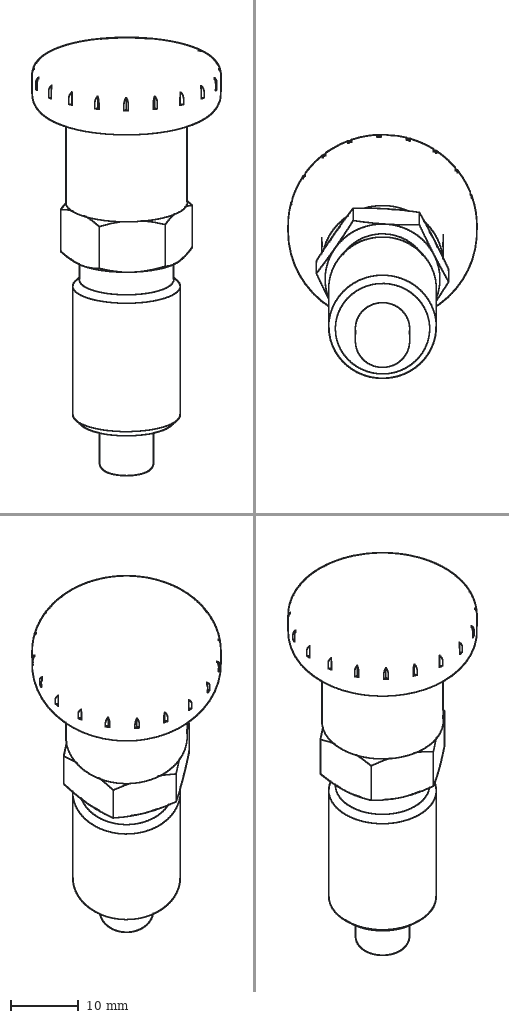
import cadquery as cq
import math

total_height = 65.9
pin_length = 7.85
barrel_length = 22.0
neck_length = 4.0
hex_height = 8.05
sleeve_length = 13.6

barrel_top = pin_length + barrel_length
hex_bottom = barrel_top + neck_length
hex_top = hex_bottom + hex_height
sleeve_top = hex_top + sleeve_length

pin_radius = 4.0
pin_fillet = 1.0
pin_tip_dome_radius = 14.5

barrel_radius = 8.0
neck_radius = 7.0
barrel_chamfer = barrel_radius - neck_radius

hex_across_flats = 17.0
hex_corner_diameter = hex_across_flats / math.cos(math.radians(30))
hex_chamfer_angle = 30.0

head_diameter = 28.0
head_radius = head_diameter / 2
sleeve_diameter = 18.0
sleeve_radius = sleeve_diameter / 2
neck_fillet = 1.0
head_bottom_fillet = 2.45
head_top_fillet = 1.65
dome_height = 2.4
head_bottom = sleeve_top + neck_fillet
head_rim_top = total_height - dome_height

notch_count = 20
notch_depth = 0.3
notch_bottom = 60.95


def cylinder(radius, bottom, top):
    return cq.Workplane("XY").workplane(offset=bottom).circle(radius).extrude(top - bottom)


def make_pin():
    """Pin with a domed tip; the edge fillet is tangent to the pin side and to the dome."""
    fillet_center_radius = pin_radius - pin_fillet
    tilt = math.asin(fillet_center_radius / (pin_tip_dome_radius - pin_fillet))
    dome_edge_radius = pin_tip_dome_radius * math.sin(tilt)
    dome_edge_height = pin_tip_dome_radius * (1 - math.cos(tilt))
    fillet_center_height = dome_edge_height + pin_fillet * math.cos(tilt)
    middle_angle = (math.pi / 2 - tilt) / 2
    fillet_middle = (
        fillet_center_radius + pin_fillet * math.cos(middle_angle),
        fillet_center_height - pin_fillet * math.sin(middle_angle),
    )
    dome_middle = (
        pin_tip_dome_radius * math.sin(tilt / 2),
        pin_tip_dome_radius * (1 - math.cos(tilt / 2)),
    )
    return (
        cq.Workplane("XZ")
        .threePointArc(dome_middle, (dome_edge_radius, dome_edge_height))
        .threePointArc(fillet_middle, (pin_radius, fillet_center_height))
        .lineTo(pin_radius, pin_length)
        .lineTo(0, pin_length)
        .close()
        .revolve(360, (0, 0), (0, 1))
    )


def make_hex():
    """Hexagon whose corners are cut by a cone at both ends, starting at the inscribed circle."""
    prism = (
        cq.Workplane("XY").workplane(offset=hex_bottom).polygon(6, hex_corner_diameter).extrude(hex_height)
    )
    corner_radius = hex_corner_diameter / 2
    corner_width = corner_radius - hex_across_flats / 2
    corner_drop = corner_width * math.tan(math.radians(hex_chamfer_angle))
    envelope = cylinder(corner_radius, hex_bottom, hex_top)
    top_cut = envelope.faces(">Z").edges().chamfer(corner_drop, corner_width)
    both_cut = top_cut.faces("<Z").edges().chamfer(corner_drop, corner_width)
    return prism.intersect(both_cut)


def make_plunger():
    """Plain barrel with the pin below it and the neck and hexagon above it."""
    barrel = cylinder(barrel_radius, pin_length, barrel_top).edges().chamfer(barrel_chamfer)
    neck = cylinder(neck_radius, barrel_top, hex_bottom)
    return make_pin().union(barrel).union(neck).union(make_hex())


def make_knob_blank():
    """Sleeve and domed head, revolved in one piece."""
    diagonal = math.sqrt(0.5)
    bottom_arc_radius = head_radius - head_bottom_fillet
    bottom_arc_height = head_bottom + head_bottom_fillet
    rim_radius = head_radius - head_top_fillet
    rim_arc_height = head_rim_top - head_top_fillet
    dome_radius = (rim_radius**2 + dome_height**2) / (2 * dome_height)
    dome_middle_radius = rim_radius / 2
    dome_middle_height = total_height - dome_radius + math.sqrt(dome_radius**2 - dome_middle_radius**2)
    return (
        cq.Workplane("XZ")
        .moveTo(0, hex_top)
        .lineTo(sleeve_radius, hex_top)
        .lineTo(sleeve_radius, sleeve_top)
        .threePointArc(
            (sleeve_radius + neck_fillet * (1 - diagonal), sleeve_top + neck_fillet * diagonal),
            (sleeve_radius + neck_fillet, head_bottom),
        )
        .lineTo(bottom_arc_radius, head_bottom)
        .threePointArc(
            (
                bottom_arc_radius + head_bottom_fillet * diagonal,
                bottom_arc_height - head_bottom_fillet * diagonal,
            ),
            (head_radius, bottom_arc_height),
        )
        .lineTo(head_radius, rim_arc_height)
        .threePointArc(
            (rim_radius + head_top_fillet * diagonal, rim_arc_height + head_top_fillet * diagonal),
            (rim_radius, head_rim_top),
        )
        .threePointArc((dome_middle_radius, dome_middle_height), (0, total_height))
        .close()
        .revolve(360, (0, 0), (0, 1))
    )


def make_notch_cutter():
    """Upright right-angled V on the +X side, its point notch_depth inside the head surface."""
    cutter_depth = 2 * notch_depth
    point_radius = head_radius - notch_depth
    return (
        cq.Workplane("XY")
        .workplane(offset=notch_bottom)
        .polyline(
            [
                (point_radius, 0),
                (point_radius + cutter_depth, cutter_depth),
                (point_radius + cutter_depth, -cutter_depth),
            ]
        )
        .close()
        .extrude(total_height - notch_bottom)
    )


def make_knob():
    knob = make_knob_blank()
    cutter = make_notch_cutter()
    for index in range(notch_count):
        knob = knob.cut(cutter.rotate((0, 0, 0), (0, 0, 1), index * 360 / notch_count))
    return knob


plunger = make_plunger()
knob = make_knob()

result = cq.Compound.makeCompound([plunger.solids().val(), knob.solids().val()])